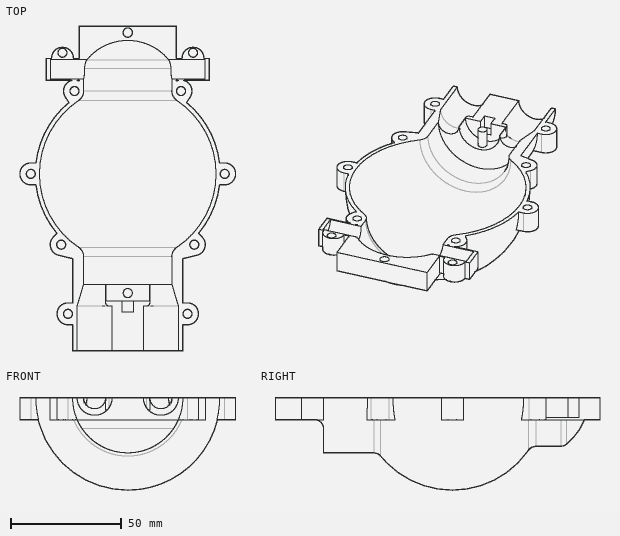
import cadquery as cq
import math


front_end = -80.3
rear_end = 67.0
overall_width = 98.0
flange_thickness = 10.0

chamber_radius = 40.0
wall = 1.9
neck_bore_radius = 20.0
rear_neck_radius = 22.1
front_neck_radius = 25.0
inner_blend = 5.0
outer_blend = 4.0
neck_floor = -50.1

inner_dome_y = 36.5
inner_dome_radius = 24.0
outer_dome_y = 34.6
outer_dome_radius = 27.3
inner_dome_blend = 6.0
outer_dome_blend = 4.0

deep_neck_end = -58.5
underside_blend = 4.0

bore_spacing = 30.0
bore_radius = 8.0
inlet_radius = 5.0
bore_shoulder = -60.0

island_half_width = 10.0
island_corner_radius = 1.5
recess_radius = 9.9
recess_end = -57.7
pin_diameter = 4.1
pin_y = -54.0
pin_top = -1.5
notch_width = 5.0
notch_length = 4.9
notch_depth = 6.0

plate_width = 44.2
plate_start = 33.1
plate_hole_diameter = 4.1
plate_hole_y = 64.1

pipe_box_length = 74.0
pipe_box_width = 10.0
pipe_box_thickness = 9.0
pipe_center_y = 47.5
pipe_bore_length = 70.1
pipe_bore_radius = 4.4

lug_radius = 5.0
lug_hole_diameter = 4.0
pipe_lug_x = 29.6
pipe_lug_hole_offset = 2.5
lugs = [
    (overall_width / 2 - lug_radius, 0.0, [0.0], 5.0),
    (24.2, 37.5, [-57.0], 5.0),
    (30.2, -32.1, [46.7, -13.4], 8.0),
    (27.1, -63.5, [0.0], 5.0),
]
sides = (-1, 1)


def block(x_range, y_range, z_range):
    """Box between the given limits."""
    (x0, x1), (y0, y1), (z0, z1) = x_range, y_range, z_range
    return cq.Workplane("XY").box(x1 - x0, y1 - y0, z1 - z0, centered=False).translate((x0, y0, z0))


def rod_y(radius, start, end, x=0.0):
    """Cylinder along Y between two Y positions."""
    axis_start = cq.Vector(x, start, 0)
    return cq.Workplane(cq.Solid.makeCylinder(radius, end - start, axis_start, cq.Vector(0, 1, 0)))


def ball(radius, y=0.0):
    """Full sphere centred on the Y axis."""
    return cq.Workplane("XY").sphere(radius).translate((0, y, 0))


def circle_at_y(y):
    """Selector for the circular edges that lie in one plane of constant Y."""
    margin = 0.07
    reach = 147.3
    lower_corner = (-reach, y - margin, -reach)
    upper_corner = (reach, y + margin, reach)
    return cq.selectors.BoxSelector(lower_corner, upper_corner, boundingbox=True)


def chamber_body(sphere_radius, rear_radius, front_radius, front_limit, cap_y, cap_radius, blend, cap_blend):
    """Sphere with two necks along Y, the rear one domed, with the joints blended."""
    rear_joint = math.sqrt(sphere_radius**2 - rear_radius**2)
    front_joint = -math.sqrt(sphere_radius**2 - front_radius**2)
    dome_joint = cap_y + math.sqrt(cap_radius**2 - rear_radius**2)
    cap = ball(cap_radius, cap_y).intersect(rod_y(rear_radius, cap_y, cap_y + cap_radius))
    body = ball(sphere_radius)
    body = body.union(rod_y(rear_radius, 0, cap_y).union(cap))
    body = body.union(rod_y(front_radius, front_limit, 0)).clean()
    body = body.edges(circle_at_y(rear_joint)).fillet(blend)
    body = body.edges(circle_at_y(front_joint)).fillet(blend)
    return body.edges(circle_at_y(dome_joint)).fillet(cap_blend)


def front_step():
    """Space removed below the front end so that only its flange thickness remains."""
    side = front_neck_radius + wall
    step = block((-side, side), (front_end, deep_neck_end), (-2 * front_neck_radius, -flange_thickness))
    return step.edges(">Y and >Z").fillet(underside_blend)


def lug(x, y, angles, tab_length, hole_y, thickness):
    """Round lug with straight tabs toward the body, and the drill for its screw hole."""
    solid = cq.Workplane("XY").center(x, y).circle(lug_radius).extrude(-thickness)
    for angle in angles:
        tab = block((0, tab_length), (-lug_radius, lug_radius), (-thickness, 0))
        solid = solid.union(tab.rotate((0, 0, 0), (0, 0, 1), angle).translate((x, y, 0)))
    drill = cq.Workplane("XY").center(x, hole_y).circle(lug_hole_diameter / 2).extrude(-flange_thickness)
    return solid, drill


def twin_bores():
    """Two bores with conical inlets, leaving an island standing between the cones."""
    half = island_half_width
    island = block((-half, half), (bore_shoulder, neck_floor), (-2 * bore_radius, 0))
    island = island.edges("|Z and <Y").fillet(island_corner_radius)
    inlet_length = neck_floor - bore_shoulder
    bores = []
    cones = []
    for side in sides:
        x = side * bore_spacing / 2
        start = cq.Vector(x, bore_shoulder, 0)
        cone = cq.Solid.makeCone(bore_radius, inlet_radius, inlet_length, start, cq.Vector(0, 1, 0))
        cones.append(cq.Workplane(cone).cut(island))
        bores.append(rod_y(bore_radius, front_end, bore_shoulder, x))
    return bores + cones


def pin_recess():
    """Round recess in the island with a notch in its end and a pin left standing in it."""
    recess = rod_y(recess_radius, recess_end, neck_floor)
    pin = cq.Workplane("XY").workplane(offset=pin_top).center(0, pin_y)
    pin = pin.circle(pin_diameter / 2).extrude(-recess_radius)
    half = notch_width / 2
    notch = block((-half, half), (recess_end - notch_length, recess_end), (-notch_depth, 0))
    return recess.cut(pin), notch


outer_radius = chamber_radius + wall
body = chamber_body(outer_radius, rear_neck_radius, front_neck_radius, front_end,
                    outer_dome_y, outer_dome_radius, outer_blend, outer_dome_blend)
lower_half = block((-outer_radius, outer_radius), (front_end, rear_end), (-outer_radius, 0))
body = body.intersect(lower_half).cut(front_step())
body = body.union(block((-plate_width / 2, plate_width / 2), (plate_start, rear_end), (-flange_thickness, 0)))
pipe_front = pipe_center_y - pipe_box_width / 2
pipe_rear = pipe_center_y + pipe_box_width / 2
body = body.union(block((-pipe_box_length / 2, pipe_box_length / 2), (pipe_front, pipe_rear),
                        (-pipe_box_thickness, 0)))

drills = []
pipe_lug_hole_y = pipe_rear + pipe_lug_hole_offset
for side in sides:
    side_lugs = [lug(side * pipe_lug_x, pipe_rear, [], 0, pipe_lug_hole_y, pipe_box_thickness)]
    for x, y, angles, tab_length in lugs:
        side_angles = angles if side < 0 else [180 - angle for angle in angles]
        side_lugs.append(lug(side * x, y, side_angles, tab_length, y, flange_thickness))
    for solid, drill in side_lugs:
        body = body.union(solid)
        drills.append(drill)

pipe_bore = cq.Workplane("YZ").center(pipe_center_y, 0).circle(pipe_bore_radius)
body = body.cut(pipe_bore.extrude(pipe_bore_length / 2, both=True))
body = body.cut(chamber_body(chamber_radius, neck_bore_radius, neck_bore_radius, neck_floor,
                             inner_dome_y, inner_dome_radius, inner_blend, inner_dome_blend))
for cutter in twin_bores():
    body = body.cut(cutter)
for cutter in pin_recess():
    body = body.cut(cutter)

for drill in drills:
    body = body.cut(drill)
plate_hole = cq.Workplane("XY").center(0, plate_hole_y).circle(plate_hole_diameter / 2)
body = body.cut(plate_hole.extrude(-flange_thickness))

result = body